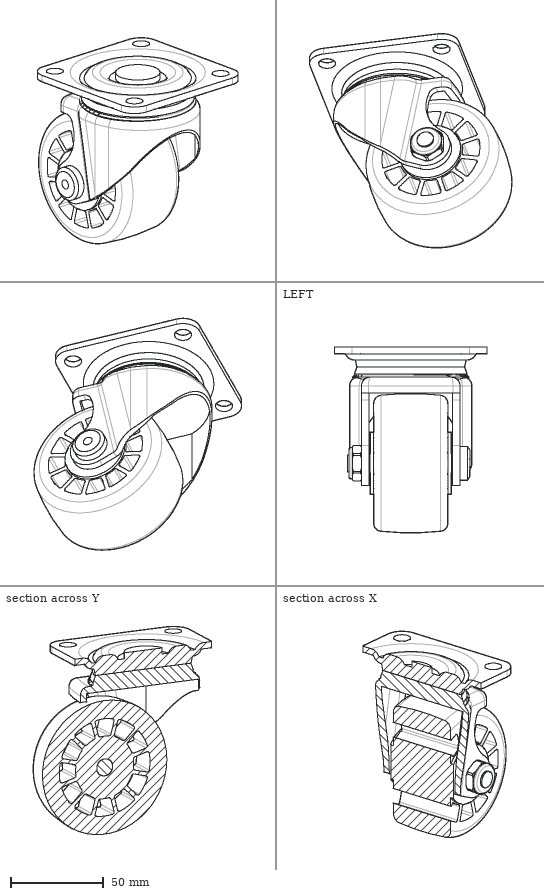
import cadquery as cq
import math


OVERALL_HEIGHT = 100.0

PLATE_SIDE = 82.0
PLATE_THICKNESS = 3.8
PLATE_CORNER_RADIUS = 9.5
BOLT_HOLE_PITCH = 63.0
BOLT_HOLE_DIAMETER = 9.0
DISH_DEPTH = 3.3
DISH_RIM_RADIUS = 36.3
DISH_FLOOR_OUTER_RADIUS = 31.3
DISH_FLOOR_INNER_RADIUS = 28.8
CROWN_OUTER_RADIUS = 24.4
CROWN_INNER_RADIUS = 20.3
POCKET_RADIUS = 15.4
KINGPIN_RADIUS = 12.0
BOWL_RIM_RADIUS = 35.1
BOWL_FLOOR_RADIUS = 30.0
NECK_TOP_RADIUS = 29.8

WAIST_RADIUS = 29.0
WAIST_Z = -10.9

FORK_WALL = 4.1
FORK_TOP_Z = -16.2
FORK_EDGE_RADIUS = 4.7
EDGE_MARGIN = 0.01
FORK_EDGE_Z = FORK_TOP_Z - FORK_EDGE_RADIUS
TAB_BOTTOM_Z = -24.8
TAB_FRONT_X = -37.9
TAB_BOW_RADIUS = 94.0
TAB_CORNER_RADIUS = 5.0
LEG_HALF_WIDTH = 26.5
LEG_GAP_HALF_WIDTH = LEG_HALF_WIDTH - FORK_WALL
SKIRT_HALF_WIDTH = 32.9
SKIRT_WALL = 1.0
SKIRT_CENTRE_X = 1.9
SKIRT_ARC_START_X = 10.7
SKIRT_REAR_RADIUS = 32.3
SKIRT_REAR_X = SKIRT_CENTRE_X + SKIRT_REAR_RADIUS
STEP_START_X = -19.3
STEP_LEAD = 2.0
STEP_INNER_RADIUS = 3.2
STEP_OUTER_RADIUS = 14.2
STEP_SLANT = 0.19
COLLAR_RADIUS = 30.3
COLLAR_TOP_Z = -14.4
COLLAR_FLARE = 1.1
LEG_END_RADIUS = 12.0
LEG_FRONT_ANGLE = math.radians(128)
THROAT_TOP = (-27.4, TAB_BOTTOM_Z)
THROAT_MIDDLE = (-24.6, -26.1)
THROAT_BOTTOM = (-23.2, -28.4)
LEG_FRONT_MIDDLE = (-22.6, -42.0)
LEG_TIP = (-10.2, -69.9)
SKIRT_EDGE_MIDDLE = (10.7, -55.9)
SKIRT_EDGE_BEND = (21.3, -44.7)
SKIRT_EDGE_END = (SKIRT_REAR_X, -24.6)
FORK_BOTTOM_Z = -81.2
PLAN_REAR_X = 81.2

AXLE_X = -23.0
WHEEL_RADIUS = 37.5
AXLE_Z = WHEEL_RADIUS - OVERALL_HEIGHT
WHEEL_HALF_WIDTH = 20.0
TREAD_EDGE_RADIUS = 36.1
TREAD_FILLET = 4.5
HUB_RADIUS = 16.7
HUB_HALF_WIDTH = 21.8
SPACER_RADIUS = 5.2
WINDOW_COUNT = 12
WINDOW_INNER_RADIUS = 17.6
WINDOW_OUTER_RADIUS = 27.0
WINDOW_CORNER_RADIUS = 1.0
SPOKE_WIDTH = 2.4

SHANK_RADIUS = 4.6
HEAD_RADIUS = 9.1
HEAD_TIP_RADIUS = 7.2
HEAD_HEIGHT = 5.3
HEAD_BEVEL = 1.3
CENTRE_DIMPLE_RADIUS = 2.5
CENTRE_DIMPLE_DEPTH = 1.4
BOLT_END_Y = 34.1
NUT_FLATS = 17.1
NUT_CORNER_RADIUS = 9.5
NUT_BEVEL = 0.6
NUT_HEX_HEIGHT = 4.9
NUT_COLLAR_RADIUS = 8.4
NUT_COLLAR_EDGE = 1.0
NUT_HEIGHT = 6.7


def axle_disc(radius, y_start, y_end):
    """A cylinder on the axle line between two Y positions."""
    return (
        cq.Workplane("XZ", origin=(AXLE_X, y_start, AXLE_Z))
        .circle(radius)
        .extrude(y_start - y_end)
    )


def make_plate():
    """Square plate with four bolt holes around the pressed dish."""
    slab = (
        cq.Workplane("XY")
        .rect(PLATE_SIDE, PLATE_SIDE)
        .extrude(-PLATE_THICKNESS)
        .edges("|Z")
        .fillet(PLATE_CORNER_RADIUS)
    )
    slab = (
        slab.faces(">Z")
        .workplane()
        .rect(BOLT_HOLE_PITCH, BOLT_HOLE_PITCH, forConstruction=True)
        .vertices()
        .hole(BOLT_HOLE_DIAMETER)
    )
    dish_opening = cq.Workplane("XY").circle(DISH_RIM_RADIUS).extrude(-PLATE_THICKNESS)
    return slab.cut(dish_opening).union(make_pressed_dish())


def make_pressed_dish():
    """The turned centre of the plate: ring groove, raised crown, kingpin pocket and neck."""
    bowl_bottom = -DISH_DEPTH - PLATE_THICKNESS
    profile = (
        cq.Workplane("XZ")
        .moveTo(0, 0)
        .lineTo(KINGPIN_RADIUS, 0)
        .lineTo(KINGPIN_RADIUS, -DISH_DEPTH)
        .lineTo(POCKET_RADIUS, -DISH_DEPTH)
        .threePointArc(
            lip_middle(CROWN_INNER_RADIUS, POCKET_RADIUS), (CROWN_INNER_RADIUS, 0)
        )
        .lineTo(CROWN_OUTER_RADIUS, 0)
        .tangentArcPoint((DISH_FLOOR_INNER_RADIUS, -DISH_DEPTH), relative=False)
        .lineTo(DISH_FLOOR_OUTER_RADIUS, -DISH_DEPTH)
        .threePointArc(
            lip_middle(DISH_RIM_RADIUS, DISH_FLOOR_OUTER_RADIUS), (DISH_RIM_RADIUS, 0)
        )
        .lineTo(DISH_RIM_RADIUS, -PLATE_THICKNESS)
        .lineTo(BOWL_RIM_RADIUS, -PLATE_THICKNESS)
        .threePointArc(bowl_middle(bowl_bottom), (BOWL_FLOOR_RADIUS, bowl_bottom))
        .lineTo(NECK_TOP_RADIUS, bowl_bottom)
        .lineTo(WAIST_RADIUS, WAIST_Z)
        .lineTo(0, WAIST_Z)
        .close()
    )
    return profile.revolve(360, (0, 0, 0), (0, 1, 0))


def arc_middle(level_end, other_end):
    """Midpoint of the arc that leaves level_end horizontally and reaches other_end."""
    run = other_end[0] - level_end[0]
    rise = other_end[1] - level_end[1]
    turn = 2 * math.atan2(abs(rise), abs(run))
    radius = abs(run) / math.sin(turn)
    return (
        level_end[0] + math.copysign(radius * math.sin(turn / 2), run),
        level_end[1] + math.copysign(radius * (1 - math.cos(turn / 2)), rise),
    )


def lip_middle(top_radius, floor_radius):
    """Arc midpoint of a rounded lip between the plate's top level and the dish floor."""
    return arc_middle((top_radius, 0), (floor_radius, -DISH_DEPTH))


def bowl_middle(bowl_bottom):
    """Arc midpoint of the rounded underside of the dish."""
    return arc_middle((BOWL_FLOOR_RADIUS, bowl_bottom), (BOWL_RIM_RADIUS, -PLATE_THICKNESS))


def skirt_plan():
    """Plan of the skirt: straight sides, a slight taper and a round rear."""
    front_x = TAB_FRONT_X - FORK_WALL
    arc_dx = SKIRT_ARC_START_X - SKIRT_CENTRE_X
    arc_start_y = math.sqrt(SKIRT_REAR_RADIUS**2 - arc_dx**2)
    return (
        cq.Workplane("XY")
        .moveTo(front_x, -SKIRT_HALF_WIDTH)
        .lineTo(SKIRT_CENTRE_X, -SKIRT_HALF_WIDTH)
        .lineTo(SKIRT_ARC_START_X, -arc_start_y)
        .threePointArc((SKIRT_REAR_X, 0), (SKIRT_ARC_START_X, arc_start_y))
        .lineTo(SKIRT_CENTRE_X, SKIRT_HALF_WIDTH)
        .lineTo(front_x, SKIRT_HALF_WIDTH)
        .close()
        .val()
    )


def tab_plan():
    """Plan of the narrow part: bowed front edge, rounded front corners, parallel sides."""
    bow_centre_x = TAB_FRONT_X + TAB_BOW_RADIUS
    corner_reach = TAB_BOW_RADIUS - TAB_CORNER_RADIUS
    corner_y = LEG_HALF_WIDTH - TAB_CORNER_RADIUS
    corner_x = bow_centre_x - math.sqrt(corner_reach**2 - corner_y**2)
    bow_angle = math.asin(corner_y / corner_reach)
    bow_end_x = bow_centre_x - TAB_BOW_RADIUS * math.cos(bow_angle)
    bow_end_y = TAB_BOW_RADIUS * math.sin(bow_angle)
    return (
        cq.Workplane("XY")
        .moveTo(bow_end_x, -bow_end_y)
        .threePointArc((TAB_FRONT_X, 0), (bow_end_x, bow_end_y))
        .tangentArcPoint((corner_x, LEG_HALF_WIDTH), relative=False)
        .lineTo(PLAN_REAR_X, LEG_HALF_WIDTH)
        .lineTo(PLAN_REAR_X, -LEG_HALF_WIDTH)
        .lineTo(corner_x, -LEG_HALF_WIDTH)
        .tangentArcPoint((bow_end_x, -bow_end_y), relative=False)
        .close()
        .val()
    )


def bulge_plan(inset):
    """Plan of the wide part: each side steps from the leg width to the skirt width in an S."""
    rise = SKIRT_HALF_WIDTH - LEG_HALF_WIDTH
    turn = math.acos(1 - rise / (STEP_INNER_RADIUS + STEP_OUTER_RADIUS))
    middle_x = STEP_START_X + STEP_INNER_RADIUS * math.sin(turn)
    middle_y = LEG_HALF_WIDTH + STEP_INNER_RADIUS * (1 - math.cos(turn))
    end_x = middle_x + STEP_OUTER_RADIUS * math.sin(turn)
    front_x = STEP_START_X - STEP_LEAD - inset
    return (
        cq.Workplane("XY")
        .moveTo(PLAN_REAR_X, -SKIRT_HALF_WIDTH)
        .lineTo(end_x, -SKIRT_HALF_WIDTH)
        .tangentArcPoint((middle_x, -middle_y), relative=False)
        .tangentArcPoint((STEP_START_X, -LEG_HALF_WIDTH), relative=False)
        .lineTo(front_x, -LEG_HALF_WIDTH)
        .lineTo(front_x, LEG_HALF_WIDTH)
        .lineTo(STEP_START_X, LEG_HALF_WIDTH)
        .tangentArcPoint((middle_x, middle_y), relative=False)
        .tangentArcPoint((end_x, SKIRT_HALF_WIDTH), relative=False)
        .lineTo(PLAN_REAR_X, SKIRT_HALF_WIDTH)
        .close()
        .val()
    )


def fork_block(leg_inset, skirt_inset, top_z, bottom_z, slant):
    """The fork's plan, offset inwards and extruded down; the S steps lean by slant."""
    depth = top_z - bottom_z

    def prism(plan, inset, shift_x):
        wire = plan.offset2D(-inset)[0] if inset else plan
        solid = cq.Solid.extrudeLinear(wire, [], cq.Vector(shift_x, 0, -depth))
        return cq.Workplane(solid.translate(cq.Vector(0, 0, top_z)))

    widths = prism(tab_plan(), leg_inset, 0)
    widths = widths.union(prism(bulge_plan(leg_inset), leg_inset, slant * depth))
    return widths.intersect(prism(skirt_plan(), skirt_inset, 0))


def fork_side_profile():
    """Side outline of tab, legs and skirt, extruded across the whole width."""
    front_x = TAB_FRONT_X - FORK_WALL
    rear_x = SKIRT_REAR_X + FORK_WALL
    leg_top_x = AXLE_X + LEG_END_RADIUS * math.cos(LEG_FRONT_ANGLE)
    leg_top_z = AXLE_Z + LEG_END_RADIUS * math.sin(LEG_FRONT_ANGLE)
    tip_dx = LEG_TIP[0] - AXLE_X
    tip_dz = LEG_TIP[1] - AXLE_Z
    tip_distance = math.hypot(tip_dx, tip_dz)
    bottom_angle = math.atan2(tip_dz, tip_dx) - math.acos(LEG_END_RADIUS / tip_distance)
    leg_bottom = (
        AXLE_X + LEG_END_RADIUS * math.cos(bottom_angle),
        AXLE_Z + LEG_END_RADIUS * math.sin(bottom_angle),
    )
    return (
        cq.Workplane("XZ", origin=(0, SKIRT_HALF_WIDTH, 0))
        .moveTo(front_x, 0)
        .lineTo(front_x, TAB_BOTTOM_Z)
        .lineTo(*THROAT_TOP)
        .threePointArc(THROAT_MIDDLE, THROAT_BOTTOM)
        .threePointArc(LEG_FRONT_MIDDLE, (leg_top_x, leg_top_z))
        .threePointArc((AXLE_X - LEG_END_RADIUS, AXLE_Z), leg_bottom)
        .lineTo(*LEG_TIP)
        .threePointArc(SKIRT_EDGE_MIDDLE, SKIRT_EDGE_BEND)
        .lineTo(*SKIRT_EDGE_END)
        .lineTo(rear_x, SKIRT_EDGE_END[1])
        .lineTo(rear_x, 0)
        .close()
        .extrude(2 * SKIRT_HALF_WIDTH)
    )


def fork_collar():
    """Turned neck on top of the fork, from the waist down to a flared foot."""
    return (
        cq.Workplane("XZ")
        .moveTo(0, WAIST_Z)
        .lineTo(WAIST_RADIUS, WAIST_Z)
        .lineTo(COLLAR_RADIUS, COLLAR_TOP_Z)
        .lineTo(COLLAR_RADIUS, FORK_TOP_Z + COLLAR_FLARE)
        .tangentArcPoint((COLLAR_RADIUS + COLLAR_FLARE, FORK_TOP_Z), relative=False)
        .lineTo(COLLAR_RADIUS, FORK_TOP_Z - COLLAR_FLARE)
        .lineTo(0, FORK_TOP_Z - COLLAR_FLARE)
        .close()
        .revolve(360, (0, 0, 0), (0, 1, 0))
    )


def leg_block(half_width):
    """Box below the tab, as long as the flat legs and centred across the fork."""
    front_x = AXLE_X - LEG_END_RADIUS
    length = STEP_START_X - front_x
    height = TAB_BOTTOM_Z - FORK_BOTTOM_Z
    block = cq.Workplane("XY").box(length, 2 * half_width, height, centered=(False, True, False))
    return block.translate((front_x, 0, FORK_BOTTOM_Z))


def make_fork():
    """Hollow fork: rounded cap, slanted side walls, flat legs and the collar on top."""
    cap = fork_block(0, 0, FORK_TOP_Z, FORK_EDGE_Z, 0)
    cap = cap.faces(">Z").edges().fillet(FORK_EDGE_RADIUS - EDGE_MARGIN)
    walls = fork_block(0, 0, FORK_EDGE_Z, FORK_BOTTOM_Z, STEP_SLANT)
    walls = walls.union(leg_block(LEG_HALF_WIDTH))
    ceiling_z = FORK_TOP_Z - FORK_WALL
    cavity = fork_block(FORK_WALL, SKIRT_WALL, ceiling_z, FORK_BOTTOM_Z, STEP_SLANT)
    cavity = cavity.union(leg_block(LEG_GAP_HALF_WIDTH))
    shell = cap.union(walls).cut(cavity).intersect(fork_side_profile())
    axle_hole = axle_disc(SHANK_RADIUS, -SKIRT_HALF_WIDTH, SKIRT_HALF_WIDTH)
    return shell.union(fork_collar()).cut(axle_hole)


def wheel_window():
    """One rounded opening between two spokes, cut straight through the wheel."""
    half_gap = math.pi / WINDOW_COUNT
    half_spoke = SPOKE_WIDTH / 2

    def corner(radius, side):
        angle = math.pi / 2 - side * (half_gap - math.asin(half_spoke / radius))
        return (radius * math.cos(angle), radius * math.sin(angle))

    return (
        cq.Workplane("XZ", origin=(AXLE_X, WHEEL_HALF_WIDTH, AXLE_Z))
        .moveTo(*corner(WINDOW_INNER_RADIUS, -1))
        .threePointArc((0, WINDOW_INNER_RADIUS), corner(WINDOW_INNER_RADIUS, 1))
        .lineTo(*corner(WINDOW_OUTER_RADIUS, 1))
        .threePointArc((0, WINDOW_OUTER_RADIUS), corner(WINDOW_OUTER_RADIUS, -1))
        .close()
        .extrude(2 * WHEEL_HALF_WIDTH)
        .edges("|Y")
        .fillet(WINDOW_CORNER_RADIUS)
    )


def make_wheel():
    """Crowned tread with spoke windows, raised hub faces and end spacers."""
    tread = (
        cq.Workplane("XY", origin=(AXLE_X, 0, AXLE_Z))
        .moveTo(0, -WHEEL_HALF_WIDTH)
        .lineTo(TREAD_EDGE_RADIUS, -WHEEL_HALF_WIDTH)
        .threePointArc((WHEEL_RADIUS, 0), (TREAD_EDGE_RADIUS, WHEEL_HALF_WIDTH))
        .lineTo(0, WHEEL_HALF_WIDTH)
        .close()
        .revolve(360, (0, 0, 0), (0, 1, 0))
    )
    wheel = tread.faces("<Y or >Y").edges().fillet(TREAD_FILLET)
    wheel = wheel.union(axle_disc(HUB_RADIUS, -HUB_HALF_WIDTH, HUB_HALF_WIDTH))
    wheel = wheel.union(axle_disc(SPACER_RADIUS, -LEG_GAP_HALF_WIDTH, LEG_GAP_HALF_WIDTH))
    window = wheel_window()
    for index in range(WINDOW_COUNT):
        turned = window.rotate(
            (AXLE_X, 0, AXLE_Z), (AXLE_X, 1, AXLE_Z), index * 360 / WINDOW_COUNT
        )
        wheel = wheel.cut(turned)
    return wheel.cut(axle_disc(SHANK_RADIUS, -LEG_GAP_HALF_WIDTH, LEG_GAP_HALF_WIDTH))


def make_bolt():
    """Shank through fork and wheel, with a bevelled round head that has a conical dimple."""
    head_top = -LEG_HALF_WIDTH - HEAD_HEIGHT
    return (
        cq.Workplane("XY", origin=(AXLE_X, 0, AXLE_Z))
        .moveTo(0, head_top + CENTRE_DIMPLE_DEPTH)
        .lineTo(CENTRE_DIMPLE_RADIUS, head_top)
        .lineTo(HEAD_TIP_RADIUS, head_top)
        .lineTo(HEAD_RADIUS, head_top + HEAD_BEVEL)
        .lineTo(HEAD_RADIUS, -LEG_HALF_WIDTH)
        .lineTo(SHANK_RADIUS, -LEG_HALF_WIDTH)
        .lineTo(SHANK_RADIUS, BOLT_END_Y)
        .lineTo(0, BOLT_END_Y)
        .close()
        .revolve(360, (0, 0, 0), (0, 1, 0))
    )


def make_nut():
    """Hexagon with bevelled corners and a domed round collar on its outer end."""
    hex_end_y = LEG_HALF_WIDTH + NUT_HEX_HEIGHT
    nut_end_y = LEG_HALF_WIDTH + NUT_HEIGHT
    hexagon = (
        cq.Workplane("XZ", origin=(AXLE_X, LEG_HALF_WIDTH, AXLE_Z))
        .polygon(6, NUT_FLATS, circumscribed=True)
        .extrude(-NUT_HEX_HEIGHT)
    )
    corner_limit = axle_disc(NUT_CORNER_RADIUS, LEG_HALF_WIDTH, hex_end_y)
    hexagon = hexagon.intersect(corner_limit.edges().chamfer(NUT_BEVEL))
    collar = axle_disc(NUT_COLLAR_RADIUS, hex_end_y, nut_end_y)
    collar = collar.faces(">Y").edges().fillet(NUT_COLLAR_EDGE)
    shank_hole = axle_disc(SHANK_RADIUS, LEG_HALF_WIDTH, nut_end_y)
    return hexagon.union(collar).cut(shank_hole)


plate = make_plate()
fork = make_fork()
wheel = make_wheel()
bolt = make_bolt()
nut = make_nut()

result = cq.Compound.makeCompound(
    [body.solids().val() for body in (plate, fork, wheel, bolt, nut)]
)